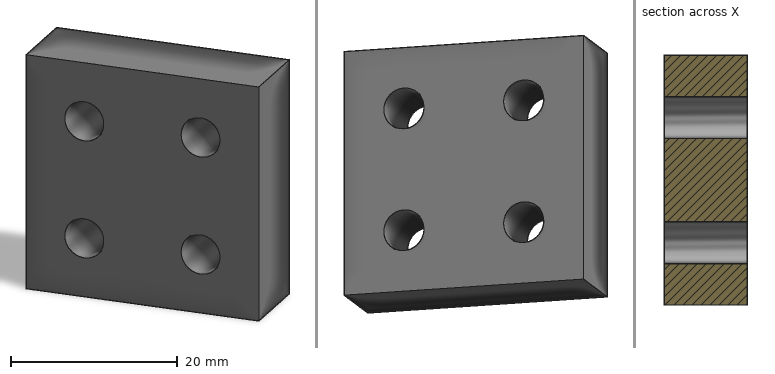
import cadquery as cq

side = 30.0
thickness = side / 3

hole_diameter = 5.0
hole_spacing = side / 2

block = cq.Workplane("XZ").box(side, side, thickness)

result = (
    block.faces("<Y")
    .workplane(centerOption="CenterOfBoundBox")
    .rarray(hole_spacing, hole_spacing, 2, 2)
    .hole(hole_diameter)
)